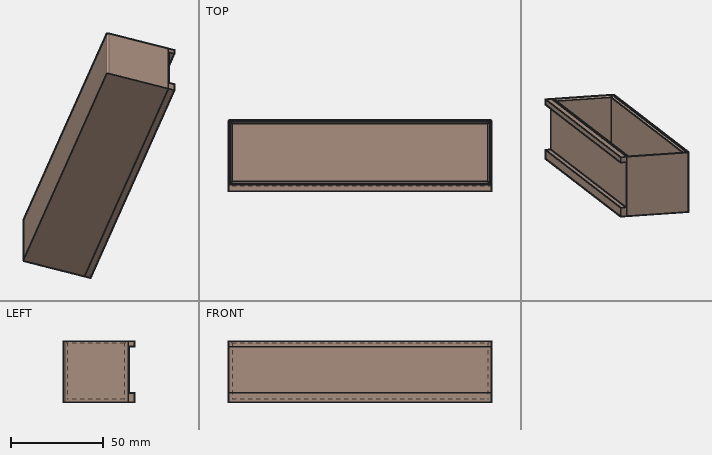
import cadquery as cq

length = 142.0
height = 33.0
total_depth = 38.5

web_thickness = 0.5
lip_reach = 3.0
top_lip_height = 3.0
bottom_lip_height = 5.0
rail_depth = web_thickness + lip_reach

bin_depth = total_depth - rail_depth
wall = 2.0
floor_thickness = 2.0
rim_bevel = 1.0
corner_radius = 1.0

cavity_length = length - 2 * wall
cavity_depth = bin_depth - 2 * wall
cavity_height = height - floor_thickness


def make_bin():
    """Box with rounded rear corners, a deep cavity and a bevelled inner rim."""
    block = (
        cq.Workplane("XY")
        .box(length, bin_depth, height, centered=(True, False, False))
        .edges("|Z and >Y")
        .fillet(corner_radius)
    )
    cavity = (
        cq.Workplane("XY")
        .box(cavity_length, cavity_depth, cavity_height, centered=(True, False, False))
        .translate((0, wall, floor_thickness))
    )
    hollow = block.cut(cavity)
    margin = wall / 2
    rim_zone = cq.selectors.BoxSelector(
        (-cavity_length / 2 - margin, wall - margin, height - margin),
        (cavity_length / 2 + margin, bin_depth - wall + margin, height + margin),
        boundingbox=True,
    )
    return hollow.edges(rim_zone).chamfer(rim_bevel)


def make_rail():
    """C-shaped section in the YZ plane, extruded along the length of the bin."""
    return (
        cq.Workplane("YZ")
        .moveTo(0, 0)
        .lineTo(-rail_depth, 0)
        .lineTo(-rail_depth, bottom_lip_height)
        .lineTo(-web_thickness, bottom_lip_height)
        .lineTo(-web_thickness, height - top_lip_height)
        .lineTo(-rail_depth, height - top_lip_height)
        .lineTo(-rail_depth, height)
        .lineTo(0, height)
        .close()
        .extrude(length / 2, both=True)
    )


storage_bin = make_bin()
rail = make_rail()
result = cq.Compound.makeCompound([storage_bin.val(), rail.val()])